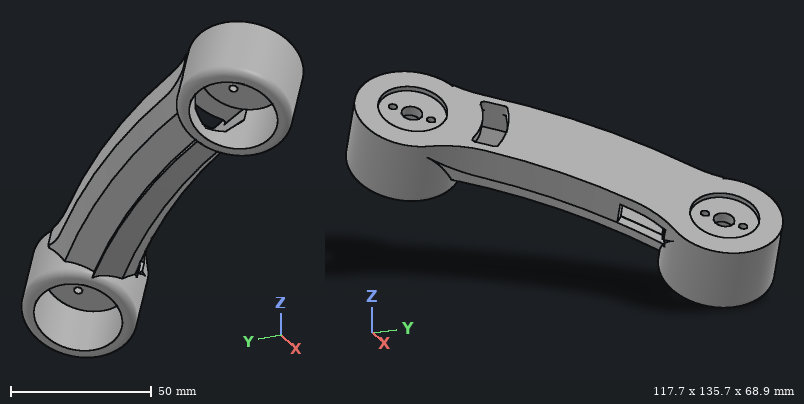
import math

import cadquery as cq

TILT_DEG = 22.5

BOSS_SPAN_X = 75.2
BOSS_SPAN_Y = 93.69
BOSS_RADIUS = 21.0
BOSS_HEIGHT = 27.0
BOSS_EDGE_FILLET = 3.0
BORE_DIAMETER = 32.0
RECESS_DIAMETER = 25.0
RECESS_DEPTH = 2.0
SEAT_THICKNESS = 4.0
CENTRE_HOLE_DIAMETER = 7.5
SCREW_HOLE_DIAMETER = 3.0
SCREW_HOLE_SPACING = 14.7

ARM_WIDTH = 30.5
ARM_BOW = 8.4
ARM_WALL_HEIGHT = 12.4
ARM_KEEL_DEPTH = 26.3
KEEL_STEP = 2.2
STEEP_RUN = 4.5
STEEP_SLOPE = math.tan(math.radians(60))
SLOPE_OVERHANG = 7.0
BLEND_RADIUS = 40.0
ARM_END_MARGIN = 8.0

ROOF = 4.0
SIDE_WALL = 3.5
KEEL_THICKNESS = 4.0
INNER_WALL_BOTTOM = 11.4
SLOT_DEPTH = 5.0
SLOT_INNER_RADIUS = 25.3
SLOT_OUTER_RADIUS = 34.6
SLOT_CORNER_RADIUS = 1.5
WINDOW_START = 83.5
WINDOW_END = 103.0
DOOR_ANGLE = -149.0
DOOR_WIDTH = 4.0

HALF_WIDTH = ARM_WIDTH / 2
INNER_HALF = HALF_WIDTH - SIDE_WALL
SPAN = math.hypot(BOSS_SPAN_X, BOSS_SPAN_Y)
SPAN_ANGLE = math.degrees(math.atan2(BOSS_SPAN_Y, BOSS_SPAN_X))
ARC_RADIUS = ((SPAN / 2) ** 2 + ARM_BOW**2) / (2 * ARM_BOW)
ARC_CENTRE = (SPAN / 2, ARM_BOW - ARC_RADIUS)
LOWER_BOSS = (0, 0)
UPPER_BOSS = (SPAN, 0)
BOSS_PLACES = [LOWER_BOSS, UPPER_BOSS]
SEAT_BOTTOM = RECESS_DEPTH + SEAT_THICKNESS


def disc(place, radius, top, bottom):
    """Upright cylinder between two depths below the top face."""
    return cq.Workplane("XY", origin=(*place, -bottom)).circle(radius).extrude(bottom - top)


def swept_section(half_width, top, wall_bottom, keel, step=0, overhang=0):
    """Ring about the arc centre: straight walls, then steep and shallow slopes to a keel.

    The floor outside the keel is shallower, so it meets the keel in a step.
    The steep slopes are carried outward and upward past the walls by `overhang`.
    """
    reach = half_width + overhang
    half = [
        (reach, top),
        (reach, wall_bottom - overhang * STEEP_SLOPE),
        (half_width - STEEP_RUN, wall_bottom + STEEP_RUN * STEEP_SLOPE),
    ]
    keel_points = [(0, keel - step), (0, keel)] if step else [(0, keel)]
    outline = half + keel_points + [(-x, depth) for x, depth in reversed(half)]
    points = [(ARC_CENTRE[0] + ARC_RADIUS + x, -depth) for x, depth in outline]
    return (
        cq.Workplane("XZ", origin=(0, ARC_CENTRE[1], 0))
        .polyline(points)
        .close()
        .revolve(360, (ARC_CENTRE[0], 0, 0), (ARC_CENTRE[0], 1, 0))
    )


def slab(start, end, top, bottom):
    """Wide block reaching across the arm between two stations along the boss line."""
    middle = (start + end) / 2
    return cq.Workplane("XY", origin=(middle, 0, -bottom)).rect(end - start, SPAN).extrude(bottom - top)


def arc_band(inner, outer, top, bottom):
    """Band along the arm's arc between two offsets from its centreline."""
    ring = disc(ARC_CENTRE, ARC_RADIUS + outer, top, bottom)
    ring = ring.cut(disc(ARC_CENTRE, ARC_RADIUS + inner, top, bottom))
    return ring.intersect(slab(0, SPAN, top, bottom))


def arm_body():
    """Solid arm, blended into the boss outlines and shaped below by the sloped section."""
    plan = arc_band(-HALF_WIDTH, HALF_WIDTH, 0, BOSS_HEIGHT)
    for place in BOSS_PLACES:
        plan = plan.union(disc(place, BOSS_RADIUS, 0, BOSS_HEIGHT))
    side = BOSS_RADIUS + HALF_WIDTH
    joints = cq.selectors.BoxSelector((0, -side, -BOSS_HEIGHT), (SPAN, side, 0))
    plan = plan.edges("|Z").edges(joints).fillet(BLEND_RADIUS)
    plan = plan.intersect(slab(ARM_END_MARGIN, SPAN - ARM_END_MARGIN, 0, BOSS_HEIGHT))
    section = swept_section(HALF_WIDTH, 0, ARM_WALL_HEIGHT, ARM_KEEL_DEPTH, KEEL_STEP, SLOPE_OVERHANG)
    return plan.intersect(section)


def boss(place):
    """Solid boss with a rounded lower edge."""
    return disc(place, BOSS_RADIUS, 0, BOSS_HEIGHT).faces("<Z").edges().fillet(BOSS_EDGE_FILLET)


def tunnel():
    """Hollow along the arm, from the bore of the lower boss to the wall of the upper one."""
    section = swept_section(INNER_HALF, ROOF, INNER_WALL_BOTTOM, ARM_KEEL_DEPTH - KEEL_THICKNESS)
    hollow = section.intersect(slab(0, SPAN, 0, BOSS_HEIGHT))
    hollow = hollow.cut(disc(LOWER_BOSS, BORE_DIAMETER / 2, 0, SEAT_BOTTOM))
    return hollow.cut(disc(UPPER_BOSS, BOSS_RADIUS, 0, BOSS_HEIGHT))


def top_slot():
    """Curved opening in the top face, concentric with the lower boss."""
    ring = disc(LOWER_BOSS, SLOT_OUTER_RADIUS, 0, SLOT_DEPTH)
    ring = ring.cut(disc(LOWER_BOSS, SLOT_INNER_RADIUS, 0, SLOT_DEPTH))
    slot = ring.intersect(arc_band(-INNER_HALF, INNER_HALF, 0, SLOT_DEPTH))
    return slot.edges("|Z").fillet(SLOT_CORNER_RADIUS)


def side_window():
    """Opening in the inside-curve wall, next to the upper boss."""
    window = slab(WINDOW_START, WINDOW_END, ROOF, ARM_WALL_HEIGHT)
    window = window.intersect(disc(ARC_CENTRE, ARC_RADIUS, ROOF, ARM_WALL_HEIGHT))
    return window.cut(disc(UPPER_BOSS, BOSS_RADIUS, ROOF, ARM_WALL_HEIGHT))


def bore_door():
    """Passage from the window through the wall of the upper boss into its bore."""
    height = ARM_WALL_HEIGHT - SEAT_BOTTOM
    door = cq.Workplane("XY", origin=(BOSS_RADIUS / 2, 0, -ARM_WALL_HEIGHT))
    door = door.rect(BOSS_RADIUS, DOOR_WIDTH).extrude(height)
    return door.rotate((0, 0, 0), (0, 0, 1), DOOR_ANGLE).translate((*UPPER_BOSS, 0))


def bores_and_holes(place):
    """Bore, top recess, centre hole and screw holes of one boss."""
    cutter = disc(place, BORE_DIAMETER / 2, SEAT_BOTTOM, BOSS_HEIGHT)
    cutter = cutter.union(disc(place, RECESS_DIAMETER / 2, 0, RECESS_DEPTH))
    cutter = cutter.union(disc(place, CENTRE_HOLE_DIAMETER / 2, RECESS_DEPTH, SEAT_BOTTOM))
    for side in (-1, 1):
        screw_place = (place[0] + side * SCREW_HOLE_SPACING / 2, place[1])
        cutter = cutter.union(disc(screw_place, SCREW_HOLE_DIAMETER / 2, RECESS_DEPTH, SEAT_BOTTOM))
    return cutter


result = arm_body()
for place in BOSS_PLACES:
    result = result.union(boss(place))
for place in BOSS_PLACES:
    result = result.cut(bores_and_holes(place))
for opening in (tunnel(), top_slot(), side_window(), bore_door()):
    result = result.cut(opening)

result = result.rotate((0, 0, 0), (0, 0, 1), SPAN_ANGLE).rotate((0, 0, 0), (0, 1, 0), TILT_DEG)